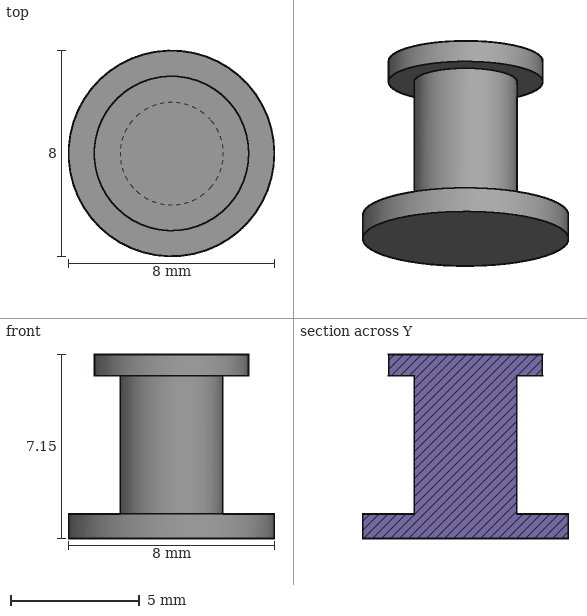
import cadquery as cq

base_diameter = 8.0
head_diameter = 0.75 * base_diameter
stem_diameter = 0.5 * base_diameter
total_height = 7.15
base_thickness = 0.95
head_thickness = 0.83
stem_height = total_height - base_thickness - head_thickness


def disc(diameter, height, bottom):
    """Upright cylinder on the Z axis, standing at the given height."""
    return cq.Workplane("XY").workplane(offset=bottom).circle(diameter / 2).extrude(height)


base = disc(base_diameter, base_thickness, 0)
stem = disc(stem_diameter, stem_height, base_thickness)
head = disc(head_diameter, head_thickness, base_thickness + stem_height)

result = base.union(stem).union(head)